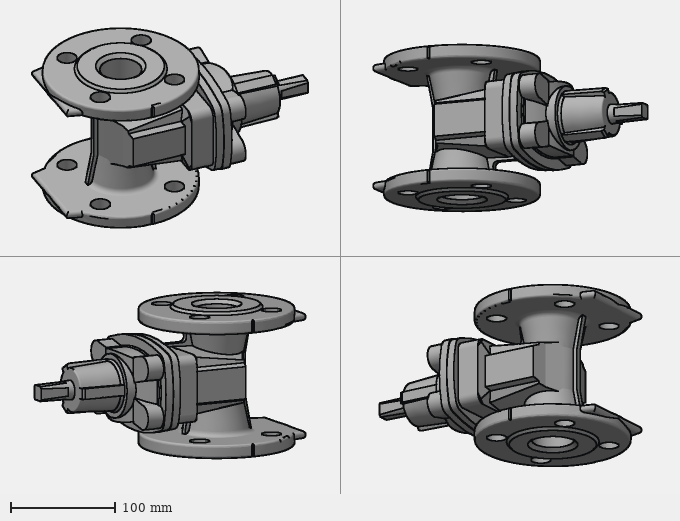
import cadquery as cq
import math


FACE_TO_FACE = 140.0
FLANGE_DIA = 150.0
FLANGE_INNER_Z = 53.8
FLANGE_OUTER_Z = 67.0
FLANGE_EDGE_FILLET = 2.5
RAISED_FACE_BASE_DIA = 88.8
RAISED_FACE_TOP_DIA = 83.6
BOLT_CIRCLE_DIA = 110.0
BOLT_HOLE_DIA = 19.0
BOLT_COUNT = 4
BORE_DIA = 40.0
BORE_CHAMFER = 4.0

FOOT_HALF_WIDTH = 40.7
FOOT_ROOT_HALF_WIDTH = 44.7
FOOT_ROOT_Y = -60.2
FOOT_THICKNESS = 7.4
FOOT_FILLET = 3.5

NOTCH_HALF_WIDTH = 1.5
NOTCH_DEPTH = 1.2

BODY_RADIUS = 25.4
NECK_START_Z = 21.0
NECK_END_RADIUS = 31.2
NECK_END_Z = 49.0
NECK_FLARE_RADIUS = 37.2

WEB_THICKNESS = 5.8
WEB_BACK_Y = -29.5
WEB_FLANGE_Y = 35.9
WEB_CORNER_Y = 33.4
WEB_TOP_Z = 36.0
WEB_CORNER_FILLET = 5.0

CHAMBER_TOP_HALF_WIDTH = 55.3
CHAMBER_HALF_WIDTH = 54.7
CHAMBER_HALF_DEPTH = 32.9
CHAMBER_FILLET = 9.0
CHAMBER_BOTTOM_Y = 50.0
CHAMBER_TIP_Y = 45.7
CHAMBER_SLOPE = 0.3

PAD_HALF_WIDTH = 45.7
PAD_HALF_HEIGHT = 15.7
PAD_END_Y = -7.7
SHOULDER_HALF_WIDTH = 39.2
SHOULDER_Z = 18.3
BODY_BEND_X = 30.5
BODY_BEND_Y = -11.5
BODY_ARC_X = 12.6
ROOF_HIGH_EDGE = (35.7, 28.8)
ROOF_HIGH_RIDGE_Z = 33.6
ROOF_LOW_EDGE = (38.9, 18.6)
ROOF_LOW_RIDGE_Z = 29.8
ROOF_LOW_Y = -BODY_RADIUS

BONNET_BOTTOM_Y = 72.2
BONNET_SPLIT_Y = 80.0
BONNET_TOP_Y = 88.2
BONNET_CORNER = (58.2, 35.2)
BONNET_HALF_WIDTH = 63.6
BONNET_HALF_DEPTH = 45.8
BONNET_CORNER_RADIUS = 12.0
LOWER_PLATE_INSET = 0.6

COVER_INSET = 11.3
COVER_CORNER_RADIUS = 6.0
COVER_BASE_HEIGHT = 1.5
COVER_BASE_CHAMFER = 1.4
COVER_PEAK_Y = 111.5
COVER_EDGE_X = 28.0
BOSS_TOP_Y = 105.0
BOSS_X = 46.8
BOSS_Z = 23.7
BOSS_RADIUS = 12.0
BOSS_INNER_Z = 7.0
BOSS_OUTER_Z = 32.0
COLLAR_DIA = 62.0
COLLAR_TOP_Y = 113.2

GLAND_TOP_Y = 158.3
GLAND_TOP_RADIUS = 21.3
GLAND_BOTTOM_RADIUS = 24.1
GLAND_TOP_FILLET = 1.5
GLAND_RIB_COUNT = 3
GLAND_RIB_RADIUS = 25.3
GLAND_RIB_ROOT_RADIUS = 25.9
GLAND_RIB_WIDTH = 10.4
GLAND_RIB_CHAMFER_LENGTH = 2.8
GLAND_RIB_CHAMFER_DEPTH = 1.2
GLAND_BASE_FLARE = 1.6
GLAND_BASE_HEIGHT = 3.0
STEM_DIA = 18.0
STEM_ROOT_DIA = 19.0
STEM_TOP_Y = 193.5
STEM_TOP_HALF_SIDE = 7.2
STEM_FLAT_END_Y = 165.0
STEM_FLAT_END_HALF_SIDE = 8.06


def xz_plane(y):
    """Workplane at height y with local axes (X, -Z) and normal +Y."""
    return cq.Workplane(cq.Plane(origin=(0, y, 0), xDir=(1, 0, 0), normal=(0, 1, 0)))


def both_ends(upper):
    """Join a shape at +Z with its mirror image at -Z."""
    return upper.union(upper.mirror("XY"))


def make_flange():
    flange_radius = FLANGE_DIA / 2
    disc = (
        cq.Workplane("XY", origin=(0, 0, FLANGE_INNER_Z))
        .circle(flange_radius)
        .extrude(FLANGE_OUTER_Z - FLANGE_INNER_Z)
        .edges()
        .fillet(FLANGE_EDGE_FILLET)
    )
    raised_face = (
        cq.Workplane("XY", origin=(0, 0, FLANGE_OUTER_Z))
        .circle(RAISED_FACE_BASE_DIA / 2)
        .workplane(offset=FACE_TO_FACE / 2 - FLANGE_OUTER_Z)
        .circle(RAISED_FACE_TOP_DIA / 2)
        .loft(combine=True)
    )
    foot = (
        cq.Workplane("XY", origin=(0, 0, FLANGE_INNER_Z))
        .polyline([
            (-FOOT_HALF_WIDTH, -flange_radius),
            (FOOT_HALF_WIDTH, -flange_radius),
            (FOOT_ROOT_HALF_WIDTH, FOOT_ROOT_Y),
            (FOOT_ROOT_HALF_WIDTH, 0),
            (-FOOT_ROOT_HALF_WIDTH, 0),
            (-FOOT_ROOT_HALF_WIDTH, FOOT_ROOT_Y),
        ])
        .close()
        .extrude(FOOT_THICKNESS)
        .faces("<Z or >Z")
        .edges()
        .fillet(FOOT_FILLET)
    )
    flange = disc.union(foot).union(raised_face)
    for side_x in (-1, 1):
        notch = (
            cq.Workplane("XY", origin=(side_x * flange_radius, 0, FLANGE_INNER_Z))
            .polyline([
                (0, NOTCH_HALF_WIDTH),
                (-side_x * NOTCH_DEPTH, 0),
                (0, -NOTCH_HALF_WIDTH),
                (side_x * NOTCH_DEPTH, 0),
            ])
            .close()
            .extrude(FLANGE_OUTER_Z - FLANGE_INNER_Z)
        )
        flange = flange.cut(notch)
    return flange


def make_neck():
    return (
        cq.Workplane("XZ")
        .moveTo(0, 0)
        .lineTo(BODY_RADIUS, 0)
        .lineTo(BODY_RADIUS, NECK_START_Z)
        .lineTo(NECK_END_RADIUS, NECK_END_Z)
        .tangentArcPoint((NECK_FLARE_RADIUS, FLANGE_INNER_Z), relative=False)
        .lineTo(NECK_FLARE_RADIUS, FLANGE_OUTER_Z)
        .lineTo(0, FLANGE_OUTER_Z)
        .close()
        .revolve(360, (0, 0, 0), (0, 1, 0))
    )


def make_web():
    half = (
        cq.Workplane("YZ", origin=(-WEB_THICKNESS / 2, 0, 0))
        .polyline([
            (WEB_BACK_Y, 0),
            (WEB_BACK_Y, NECK_START_Z),
            (-WEB_FLANGE_Y, FLANGE_INNER_Z),
            (WEB_FLANGE_Y, FLANGE_INNER_Z),
            (WEB_CORNER_Y, WEB_TOP_Z),
            (BONNET_BOTTOM_Y, WEB_TOP_Z),
            (BONNET_BOTTOM_Y, 0),
        ])
        .close()
        .extrude(WEB_THICKNESS)
    )
    corner = cq.selectors.NearestToPointSelector((0, WEB_CORNER_Y, WEB_TOP_Z))
    return both_ends(half.edges(corner).fillet(WEB_CORNER_FILLET))


def make_chamber():
    prism = (
        cq.Workplane("XY", origin=(0, 0, -CHAMBER_HALF_DEPTH))
        .polyline([
            (-CHAMBER_TOP_HALF_WIDTH, BONNET_BOTTOM_Y),
            (-CHAMBER_HALF_WIDTH, CHAMBER_BOTTOM_Y),
            (CHAMBER_HALF_WIDTH, CHAMBER_BOTTOM_Y),
            (CHAMBER_TOP_HALF_WIDTH, BONNET_BOTTOM_Y),
        ])
        .close()
        .extrude(2 * CHAMBER_HALF_DEPTH)
        .faces("<X or >X")
        .edges("<Z or >Z")
        .fillet(CHAMBER_FILLET)
    )
    tip_height = CHAMBER_BOTTOM_Y - CHAMBER_TIP_Y
    tip_inset = tip_height / CHAMBER_SLOPE
    pyramid = (
        xz_plane(CHAMBER_TIP_Y)
        .rect(2 * (CHAMBER_HALF_WIDTH - tip_inset), 2 * (CHAMBER_HALF_DEPTH - tip_inset))
        .workplane(offset=tip_height)
        .rect(2 * CHAMBER_HALF_WIDTH, 2 * CHAMBER_HALF_DEPTH)
        .loft(combine=True)
    )
    rounded_column = (
        xz_plane(CHAMBER_TIP_Y)
        .rect(2 * CHAMBER_HALF_WIDTH, 2 * CHAMBER_HALF_DEPTH)
        .extrude(tip_height)
        .edges("|Y")
        .fillet(CHAMBER_FILLET)
    )
    return prism.union(pyramid.intersect(rounded_column))


def body_section(roof_edge, ridge_z):
    """Cross-section of the body in X and Z, symmetric about both axes."""
    quarter = [
        (PAD_HALF_WIDTH, PAD_HALF_HEIGHT),
        (SHOULDER_HALF_WIDTH, SHOULDER_Z),
        roof_edge,
    ]
    upper = quarter + [(0, ridge_z)] + [(-x, z) for x, z in reversed(quarter)]
    return upper + [(-x, -z) for x, z in upper]


def make_body():
    arc_y = -math.sqrt(BODY_RADIUS**2 - BODY_ARC_X**2)
    plan = (
        cq.Workplane("XY", origin=(0, 0, -WEB_TOP_Z))
        .moveTo(PAD_HALF_WIDTH, CHAMBER_BOTTOM_Y)
        .lineTo(PAD_HALF_WIDTH, PAD_END_Y)
        .lineTo(BODY_BEND_X, BODY_BEND_Y)
        .lineTo(BODY_ARC_X, arc_y)
        .threePointArc((0, -BODY_RADIUS), (-BODY_ARC_X, arc_y))
        .lineTo(-BODY_BEND_X, BODY_BEND_Y)
        .lineTo(-PAD_HALF_WIDTH, PAD_END_Y)
        .lineTo(-PAD_HALF_WIDTH, CHAMBER_BOTTOM_Y)
        .close()
        .extrude(2 * WEB_TOP_Z)
    )
    envelope = (
        xz_plane(ROOF_LOW_Y)
        .polyline(body_section(ROOF_LOW_EDGE, ROOF_LOW_RIDGE_Z))
        .close()
        .workplane(offset=CHAMBER_BOTTOM_Y - ROOF_LOW_Y)
        .polyline(body_section(ROOF_HIGH_EDGE, ROOF_HIGH_RIDGE_Z))
        .close()
        .loft(ruled=True)
    )
    return envelope.intersect(plan)


def bonnet_plate(bottom_y, top_y, inset, corner_radius):
    """Plate with four bowed sides and rounded corners, shrunk all round by inset."""
    corner_x = BONNET_CORNER[0] - inset
    corner_z = BONNET_CORNER[1] - inset
    half_width = BONNET_HALF_WIDTH - inset
    half_depth = BONNET_HALF_DEPTH - inset
    return (
        xz_plane(bottom_y)
        .moveTo(corner_x, corner_z)
        .threePointArc((0, half_depth), (-corner_x, corner_z))
        .threePointArc((-half_width, 0), (-corner_x, -corner_z))
        .threePointArc((0, -half_depth), (corner_x, -corner_z))
        .threePointArc((half_width, 0), (corner_x, corner_z))
        .close()
        .extrude(top_y - bottom_y)
        .edges("|Y")
        .fillet(corner_radius)
    )


def make_cover():
    block = bonnet_plate(BONNET_TOP_Y, COLLAR_TOP_Y, COVER_INSET, COVER_CORNER_RADIUS)
    roof_drop = COVER_PEAK_Y - BOSS_TOP_Y
    roof_radius = (COVER_EDGE_X**2 + roof_drop**2) / (2 * roof_drop)
    roof = (
        cq.Workplane("XY", origin=(0, COVER_PEAK_Y - roof_radius, -BONNET_HALF_DEPTH))
        .circle(roof_radius)
        .extrude(2 * BONNET_HALF_DEPTH)
    )
    base = (
        bonnet_plate(
            BONNET_TOP_Y,
            BONNET_TOP_Y + COVER_BASE_HEIGHT,
            COVER_INSET - COVER_BASE_CHAMFER,
            COVER_CORNER_RADIUS + COVER_BASE_CHAMFER,
        )
        .faces(">Y")
        .edges()
        .chamfer(COVER_BASE_CHAMFER)
    )
    cover = block.intersect(roof).union(base)
    boss_height = BOSS_TOP_Y - BONNET_TOP_Y
    for side_x in (-1, 1):
        for side_z in (-1, 1):
            centre = (side_x * BOSS_X, side_z * BOSS_Z)
            boss = xz_plane(BONNET_TOP_Y).center(*centre).circle(BOSS_RADIUS).extrude(boss_height)
            bridge = (
                xz_plane(BONNET_TOP_Y)
                .polyline([
                    (centre[0], side_z * (BOSS_Z + BOSS_RADIUS)),
                    (side_x * COVER_EDGE_X, side_z * BOSS_OUTER_Z),
                    (side_x * COVER_EDGE_X, side_z * BOSS_INNER_Z),
                    (centre[0], side_z * (BOSS_Z - BOSS_RADIUS)),
                ])
                .close()
                .extrude(boss_height)
            )
            cover = cover.union(boss).union(bridge)
    collar = xz_plane(BONNET_TOP_Y).circle(COLLAR_DIA / 2).extrude(COLLAR_TOP_Y - BONNET_TOP_Y)
    return cover.union(collar)


def make_gland():
    height = GLAND_TOP_Y - COLLAR_TOP_Y
    gland = (
        xz_plane(COLLAR_TOP_Y)
        .circle(GLAND_BOTTOM_RADIUS)
        .workplane(offset=height)
        .circle(GLAND_TOP_RADIUS)
        .loft(combine=True)
        .faces(">Y")
        .edges()
        .fillet(GLAND_TOP_FILLET)
    )
    base_y = COLLAR_TOP_Y + GLAND_BASE_HEIGHT
    base = (
        cq.Workplane("XY")
        .moveTo(0, COLLAR_TOP_Y)
        .lineTo(GLAND_BOTTOM_RADIUS + GLAND_BASE_FLARE, COLLAR_TOP_Y)
        .lineTo(GLAND_BOTTOM_RADIUS, base_y)
        .lineTo(0, base_y)
        .close()
        .revolve(360, (0, 0, 0), (0, 1, 0))
    )
    gland = gland.union(base)
    rib = (
        cq.Workplane("XY", origin=(0, 0, -GLAND_RIB_WIDTH / 2))
        .polyline([
            (0, COLLAR_TOP_Y),
            (-GLAND_RIB_ROOT_RADIUS, COLLAR_TOP_Y),
            (-GLAND_RIB_RADIUS, GLAND_TOP_Y - GLAND_RIB_CHAMFER_LENGTH),
            (GLAND_RIB_CHAMFER_DEPTH - GLAND_RIB_RADIUS, GLAND_TOP_Y),
            (0, GLAND_TOP_Y),
        ])
        .close()
        .extrude(GLAND_RIB_WIDTH)
    )
    for i in range(GLAND_RIB_COUNT):
        gland = gland.union(rib.rotate((0, 0, 0), (0, 1, 0), i * 360 / GLAND_RIB_COUNT))
    return gland


def make_stem():
    shank = (
        xz_plane(GLAND_TOP_Y)
        .circle(STEM_ROOT_DIA / 2)
        .workplane(offset=STEM_FLAT_END_Y - GLAND_TOP_Y)
        .circle(STEM_DIA / 2)
        .loft(combine=True)
    )
    tip_length = STEM_TOP_Y - STEM_FLAT_END_Y
    tip = xz_plane(STEM_FLAT_END_Y).circle(STEM_DIA / 2).extrude(tip_length)
    square = (
        xz_plane(STEM_FLAT_END_Y)
        .rect(2 * STEM_FLAT_END_HALF_SIDE, 2 * STEM_FLAT_END_HALF_SIDE)
        .workplane(offset=tip_length)
        .rect(2 * STEM_TOP_HALF_SIDE, 2 * STEM_TOP_HALF_SIDE)
        .loft(combine=True)
    )
    return shank.union(tip.intersect(square))


def cut_bore_and_bolt_holes(valve):
    bore = cq.Workplane("XY", origin=(0, 0, -FACE_TO_FACE / 2)).circle(BORE_DIA / 2).extrude(FACE_TO_FACE)
    countersink = (
        cq.Workplane("XY", origin=(0, 0, FACE_TO_FACE / 2 - BORE_CHAMFER))
        .circle(BORE_DIA / 2)
        .workplane(offset=BORE_CHAMFER)
        .circle(BORE_DIA / 2 + BORE_CHAMFER)
        .loft(combine=True)
    )
    bolt_holes = (
        cq.Workplane("XY", origin=(0, 0, FLANGE_INNER_Z))
        .polarArray(BOLT_CIRCLE_DIA / 2, 180 / BOLT_COUNT, 360, BOLT_COUNT)
        .circle(BOLT_HOLE_DIA / 2)
        .extrude(FLANGE_OUTER_Z - FLANGE_INNER_Z)
    )
    return valve.cut(bore).cut(both_ends(countersink)).cut(both_ends(bolt_holes))


valve = both_ends(make_flange().union(make_neck()))
valve = valve.union(make_web()).union(make_body()).union(make_chamber())
lower_plate = bonnet_plate(BONNET_BOTTOM_Y, BONNET_SPLIT_Y, LOWER_PLATE_INSET, BONNET_CORNER_RADIUS)
upper_plate = bonnet_plate(BONNET_SPLIT_Y, BONNET_TOP_Y, 0, BONNET_CORNER_RADIUS)
valve = valve.union(lower_plate).union(upper_plate)
valve = valve.union(make_cover()).union(make_gland()).union(make_stem())
result = cut_bore_and_bolt_holes(valve)